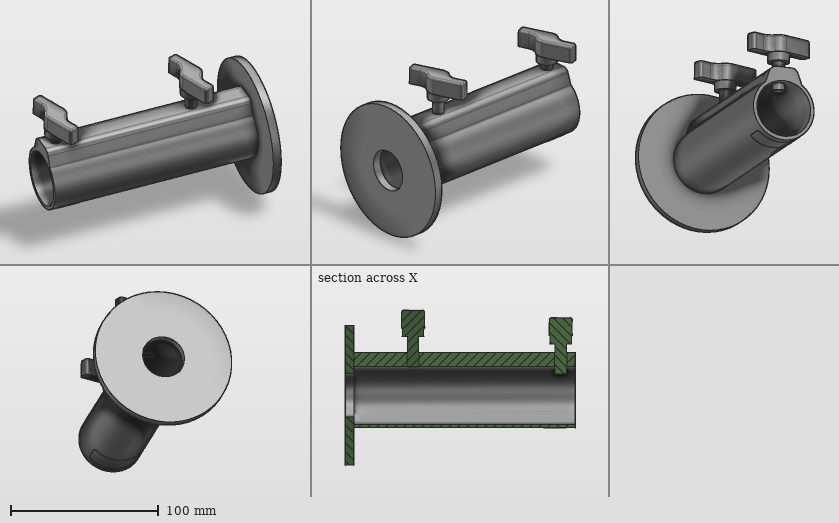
import cadquery as cq
import math

total_length = 156.0

flange_diameter = 95.0
flange_thickness = 6.0
flange_hole_radius = 14.5

tube_radius = 22.0
tube_bore_radius = 19.5

ridge_top_z = 29.0
ridge_top_half_width = 9.0
ridge_flank_angle = 20.0
ridge_top_fillet = 5.0
ridge_root_fillet = 1.0

label_edge_y = 6.2
label_length = 15.0
label_half_angle = 47.0
label_thickness = 0.2
label_corner_radius = 1.9

knob_end_offset = 10.0
knob_pitch = 100.0
front_knob_top_z = 52.5
rear_knob_lift = 5.1

molding_draft = 0.5

handle_angle = 22.0
handle_height = 12.0
handle_radius = 8.0
handle_half_length = 22.5
handle_corner_fillet = 2.0
handle_top_fillet = 1.5

collar_radius = 7.5
collar_height = 6.0

stud_diameter = 8.0
stud_length = 20.3
stud_tip_chamfer = 0.5

flange_radius = flange_diameter / 2
stud_radius = stud_diameter / 2
tube_length = total_length - flange_thickness

knob_seats = [
    (knob_end_offset, front_knob_top_z),
    (knob_end_offset + knob_pitch, front_knob_top_z + rear_knob_lift),
]


def cylinder_along_y(radius, y_start, length):
    """Solid cylinder on the tube axis, running toward +Y."""
    return cq.Workplane("XZ", origin=(0, y_start, 0)).circle(radius).extrude(-length)


def vertical_cylinder(radius, y, z_bottom, height):
    """Solid upright cylinder over the tube axis."""
    return cq.Workplane("XY", origin=(0, y, z_bottom)).circle(radius).extrude(height)


def make_ridge():
    """Solid trapezoid bar along the tube, reaching down to the axis, with rounded top edges."""
    base_half_width = ridge_top_half_width + ridge_top_z * math.tan(math.radians(ridge_flank_angle))
    outline = [
        (-base_half_width, 0),
        (base_half_width, 0),
        (ridge_top_half_width, ridge_top_z),
        (-ridge_top_half_width, ridge_top_z),
    ]
    ridge = cq.Workplane("XZ").polyline(outline).close().extrude(-tube_length)
    return ridge.faces(">Z").edges("|Y").fillet(ridge_top_fillet)


def make_tube():
    """Tube with the ridge on top and the stud holes through the ridge into the bore."""
    tube = cylinder_along_y(tube_radius, 0, tube_length).union(make_ridge())

    root_zone = cq.selectors.BoxSelector(
        (-tube_radius, 0, tube_radius / 2), (tube_radius, tube_length, tube_bore_radius))
    tube = tube.edges("|Y").edges(root_zone).fillet(ridge_root_fillet)

    tube = tube.cut(cylinder_along_y(tube_bore_radius, 0, tube_length))
    for y, _ in knob_seats:
        tube = tube.cut(vertical_cylinder(stud_radius, y, 0, ridge_top_z))
    return tube


def make_flange():
    """Round end plate with a center hole smaller than the tube bore."""
    disc = cylinder_along_y(flange_radius, tube_length, flange_thickness)
    return disc.cut(cylinder_along_y(flange_hole_radius, tube_length, flange_thickness))


def make_label():
    """Thin curved plate wrapped on the underside of the tube."""
    shell = cylinder_along_y(tube_radius + label_thickness, label_edge_y, label_length)
    shell = shell.cut(cylinder_along_y(tube_radius, label_edge_y, label_length))
    half_width = tube_radius * math.sin(math.radians(label_half_angle))
    blank = (
        cq.Workplane("XY", origin=(0, label_edge_y + label_length / 2, 0))
        .rect(2 * half_width, label_length)
        .extrude(-2 * tube_radius)
        .edges("|Z")
        .fillet(label_corner_radius)
    )
    return shell.intersect(blank)


def make_handle(y, bottom_z):
    """S-shaped wing: a round hub and two offset arms, turned about the stud axis.

    Hub radius, blend radius and arm width are equal, and each arm has one side tangent
    to the hub and the other in line with its center. So each hub arc meets its blend
    30 degrees from the arm direction, at half the radius off the center line.
    """
    r = handle_radius
    join_x = r * math.sqrt(3) / 2
    join_y = r / 2
    blend_end_x = 2 * join_x
    blend_mid_x = blend_end_x - r / 2
    blend_mid_y = r - join_x
    handle = (
        cq.Workplane("XY")
        .moveTo(-handle_half_length, r)
        .lineTo(0, r)
        .threePointArc((r / 2, join_x), (join_x, join_y))
        .threePointArc((blend_mid_x, blend_mid_y), (blend_end_x, 0))
        .lineTo(handle_half_length, 0)
        .lineTo(handle_half_length, -r)
        .lineTo(0, -r)
        .threePointArc((-r / 2, -join_x), (-join_x, -join_y))
        .threePointArc((-blend_mid_x, -blend_mid_y), (-blend_end_x, 0))
        .lineTo(-handle_half_length, 0)
        .close()
        .extrude(handle_height, taper=molding_draft)
    )

    for end_x in (-handle_half_length, handle_half_length):
        end_corners = cq.selectors.BoxSelector(
            (end_x - join_y, -2 * r, handle_height / 4),
            (end_x + join_y, 2 * r, handle_height * 3 / 4),
        )
        handle = handle.edges(end_corners).fillet(handle_corner_fillet)

    handle = handle.faces(">Z").edges().fillet(handle_top_fillet)
    handle = handle.rotate((0, 0, 0), (0, 0, 1), handle_angle)
    return handle.translate((0, y, bottom_z))


def make_collar(y, top_z):
    """Round boss under the handle, narrowing downward with the molding draft."""
    return (
        cq.Workplane("XY", origin=(0, y, top_z))
        .circle(collar_radius)
        .extrude(-collar_height, taper=molding_draft)
    )


def make_stud(y, top_z):
    """Plain stud with a chamfered lower tip."""
    stud = vertical_cylinder(stud_radius, y, top_z - stud_length, stud_length)
    return stud.faces("<Z").chamfer(stud_tip_chamfer)


def make_knob(y, top_z):
    """One clamping knob: handle, collar and stud in a single body."""
    collar_top_z = top_z - handle_height
    stud_top_z = collar_top_z - collar_height
    knob = make_handle(y, collar_top_z)
    knob = knob.union(make_collar(y, collar_top_z))
    return knob.union(make_stud(y, stud_top_z))


tube = make_tube()
flange = make_flange()
label = make_label()
knobs = [make_knob(y, top_z) for y, top_z in knob_seats]

result = cq.Compound.makeCompound([
    tube.val(),
    flange.val(),
    label.val(),
    *[knob.val() for knob in knobs],
])